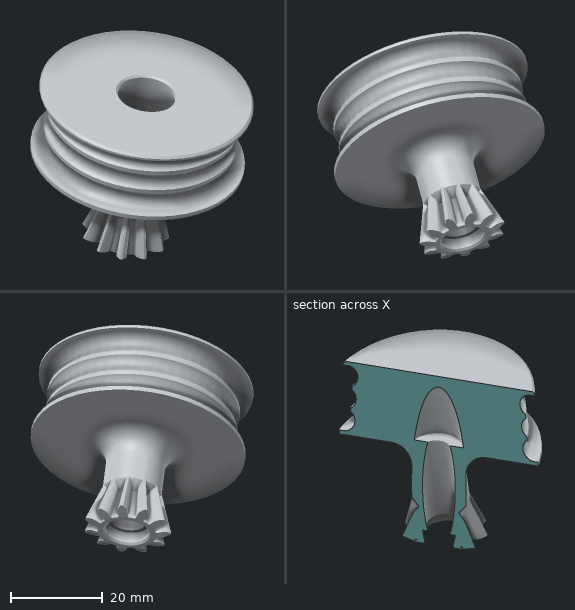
import cadquery as cq
import math

groove_count = 3
groove_radius = 2.5
groove_pitch = 5.0
groove_center_radius = 22.5
ridge_radius = 42.3 / 2
rim_radius = 47.0 / 2
rim_thickness = 1.0
rim_chamfer = 0.5
wheel_height = (groove_count - 1) * groove_pitch + 2 * groove_radius + 2 * rim_thickness

shaft_radius = 12.9 / 2
shaft_fillet = 5.0
shaft_length = 11.9

tooth_count = 11
mating_tooth_count = 40
module = 1.5
pressure_angle = math.radians(20)
gear_height = 10.15
root_radius = 12.7 / 2
root_fillet = 0.3
tip_round = 0.15
tooth_thinning = math.radians(0.8)
small_end_angle = math.radians(50)
tooth_run_in = 1.0

top_bore_radius = 12.7 / 2
top_bore_depth = 15.5
through_bore_radius = 7.55 / 2
bottom_bore_radius = 9.55 / 2
bottom_bore_depth = 3.0
bore_chamfer = 0.45

pitch_cone_angle = math.atan(tooth_count / mating_tooth_count)
pitch_radius = module * tooth_count / 2
tip_radius = pitch_radius + module * math.cos(pitch_cone_angle)
back_cone_slope = math.tan(pitch_cone_angle)
apex_height = pitch_radius / back_cone_slope + (pitch_radius - root_radius) * back_cone_slope

tip_height = (tip_radius - root_radius) * back_cone_slope
tooth_top = gear_height + tooth_run_in

wheel_bottom = gear_height + shaft_length
wheel_top = wheel_bottom + wheel_height


def wheel_and_shaft():
    """Revolved body: coned shaft end, shaft, flange fillet and grooved wheel."""
    cone_height = shaft_radius * math.tan(small_end_angle)
    fillet_dip = shaft_fillet * (1 - math.sqrt(0.5))
    profile = (
        cq.Workplane("XZ")
        .moveTo(0, gear_height - cone_height)
        .lineTo(shaft_radius, gear_height)
        .lineTo(shaft_radius, wheel_bottom - shaft_fillet)
        .threePointArc(
            (shaft_radius + fillet_dip, wheel_bottom - fillet_dip),
            (shaft_radius + shaft_fillet, wheel_bottom),
        )
        .lineTo(rim_radius, wheel_bottom)
        .lineTo(rim_radius, wheel_bottom + rim_thickness)
        .lineTo(groove_center_radius, wheel_bottom + rim_thickness)
    )
    half_mouth = math.sqrt(groove_radius**2 - (groove_center_radius - ridge_radius) ** 2)
    for index in range(groove_count):
        center = wheel_bottom + rim_thickness + groove_radius + index * groove_pitch
        if index > 0:
            profile = profile.lineTo(ridge_radius, center - half_mouth)
        if index < groove_count - 1:
            groove_end = (ridge_radius, center + half_mouth)
        else:
            groove_end = (groove_center_radius, center + groove_radius)
        profile = profile.threePointArc((groove_center_radius - groove_radius, center), groove_end)
    return (
        profile.lineTo(rim_radius, wheel_top - rim_thickness)
        .lineTo(rim_radius, wheel_top - rim_chamfer)
        .lineTo(rim_radius - rim_chamfer, wheel_top)
        .lineTo(0, wheel_top)
        .close()
        .revolve(360, (0, 0, 0), (0, 1, 0))
    )


def polar(radius, angle):
    """Point in the plane at a radius and an angle from +X."""
    return (radius * math.cos(angle), radius * math.sin(angle))


def gear_section(height):
    """Gear outline on the level plane at the given height, scaled towards the apex."""
    level_pitch = (apex_height - height) * back_cone_slope
    level_tip = (apex_height - height) * tip_radius / (apex_height - tip_height)
    level_root = (apex_height - height) * root_radius / apex_height
    base = level_pitch * math.cos(pressure_angle)

    def involute(radius):
        roll = math.acos(base / radius)
        return math.tan(roll) - roll

    arc_bulge = 1 - math.sqrt(0.5)

    tooth_pitch = 2 * math.pi / tooth_count
    pitch_angle = tooth_pitch / 4 - tooth_thinning
    base_angle = pitch_angle + math.tan(pressure_angle) - pressure_angle
    rounding = tip_round * level_tip / tip_radius
    flank_end = level_tip - rounding
    flank_end_angle = base_angle - involute(flank_end)
    mid = (base + flank_end) / 2
    mid_angle = base_angle - involute(mid)
    tip_angle = flank_end_angle - rounding / level_tip
    round_mid = level_tip - rounding * arc_bulge
    round_mid_angle = flank_end_angle - (flank_end_angle - tip_angle) * arc_bulge

    fillet = root_fillet * level_root / root_radius
    foot_angle = base_angle + fillet / level_root
    foot_mid = level_root + fillet * arc_bulge
    foot_mid_angle = base_angle + (foot_angle - base_angle) * arc_bulge

    outline = cq.Workplane("XY", origin=(0, 0, height)).moveTo(*polar(level_root, -foot_angle))
    for index in range(tooth_count):
        axis = index * tooth_pitch
        outline = (
            outline.threePointArc(
                polar(foot_mid, axis - foot_mid_angle), polar(level_root + fillet, axis - base_angle)
            )
            .lineTo(*polar(base, axis - base_angle))
            .threePointArc(polar(mid, axis - mid_angle), polar(flank_end, axis - flank_end_angle))
            .threePointArc(polar(round_mid, axis - round_mid_angle), polar(level_tip, axis - tip_angle))
            .threePointArc(polar(level_tip, axis), polar(level_tip, axis + tip_angle))
            .threePointArc(
                polar(round_mid, axis + round_mid_angle), polar(flank_end, axis + flank_end_angle)
            )
            .threePointArc(polar(mid, axis + mid_angle), polar(base, axis + base_angle))
            .lineTo(*polar(level_root + fillet, axis + base_angle))
            .threePointArc(polar(foot_mid, axis + foot_mid_angle), polar(level_root, axis + foot_angle))
            .threePointArc(
                polar(level_root, axis + tooth_pitch / 2),
                polar(level_root, axis + tooth_pitch - foot_angle),
            )
        )
    return outline.close().val()


def bevel_gear():
    """Tapered gear, its large end trimmed by the back cone."""
    blank = cq.Solid.makeLoft([gear_section(0), gear_section(tooth_top)], True)
    reach = 2 * tip_radius
    envelope = (
        cq.Workplane("XZ")
        .lineTo(root_radius, 0)
        .lineTo(reach, (reach - root_radius) * back_cone_slope)
        .lineTo(reach, tooth_top)
        .lineTo(0, tooth_top)
        .close()
        .revolve(360, (0, 0, 0), (0, 1, 0))
    )
    return cq.Workplane(blank).intersect(envelope)


def bores():
    """Stepped bore, chamfered at both mouths."""
    top_step = wheel_top - top_bore_depth
    return (
        cq.Workplane("XZ")
        .polyline(
            [
                (0, 0),
                (bottom_bore_radius + bore_chamfer, 0),
                (bottom_bore_radius, bore_chamfer),
                (bottom_bore_radius, bottom_bore_depth),
                (through_bore_radius, bottom_bore_depth),
                (through_bore_radius, top_step),
                (top_bore_radius, top_step),
                (top_bore_radius, wheel_top - bore_chamfer),
                (top_bore_radius + bore_chamfer, wheel_top),
                (0, wheel_top),
            ]
        )
        .close()
        .revolve(360, (0, 0, 0), (0, 1, 0))
    )


body = wheel_and_shaft().union(bevel_gear()).cut(bores())

result = body.rotate((0, 0, 0), (0, 1, 0), math.degrees(pitch_cone_angle))